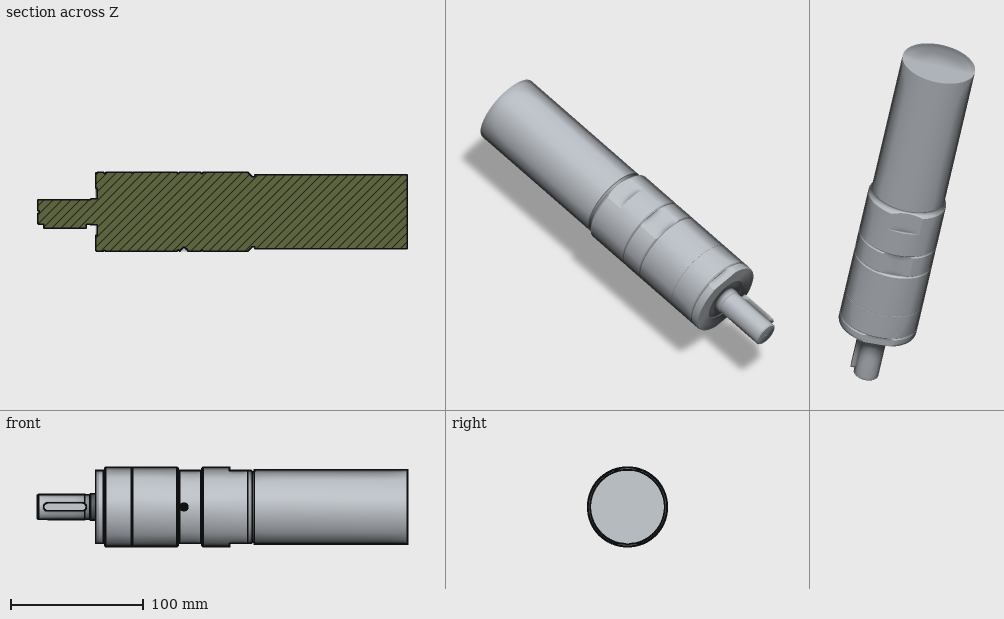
import cadquery as cq

total_length = 278.7
body_radius = 60.0 / 2
tube_radius = 56.0 / 2
neck_radius = 53.2 / 2
shaft_radius = 19.0 / 2
relief_radius = 18.7 / 2
bearing_radius = 20.0 / 2

shaft_tip_chamfer = 0.8
relief_start = 35.7
relief_end = 39.5
bearing_start = relief_end + bearing_radius - relief_radius

key_start = 4.7
key_length = 32.0
key_width = 6.0
key_top_radius = 12.5

centre_hole_diameter = 1.55
centre_hole_depth = 1.0

body_start = 43.8
front_edge_length = 1.7
front_edge_drop = 0.5
joint_groove_starts = [49.5, 105.0, 123.0]
joint_groove_width = 2.0
joint_groove_depth = (60.0 - 57.7) / 2
seam_groove_centre = 71.3
seam_groove_width = 1.0
seam_groove_depth = 0.3
rear_chamfer_start = 158.3
rear_chamfer = body_radius - neck_radius
tube_start = 163.3

recess_diameter = 35.0
recess_depth = 1.0

flat_height = 27.45
front_flat_end = joint_groove_starts[0] + joint_groove_width / 2
middle_flat_start = joint_groove_starts[1] + joint_groove_width / 2
middle_flat_end = joint_groove_starts[2] + joint_groove_width / 2
rear_flat_start = 144.6
flat_spans = [
    (body_start, front_flat_end),
    (middle_flat_start, middle_flat_end),
    (rear_flat_start, tube_start),
]

port_x = 110.5
port_diameter = 3.5
port_depth = 2.2
port_bore_diameter = 1.55
port_bore_depth = 3.3
port_counterbore_diameter = 5.5
port_counterbore_depth = 1.0


def cylinder_x(start, end, radius):
    """Cylinder on the X axis from start to end."""
    return cq.Workplane("YZ").workplane(offset=start).circle(radius).extrude(end - start)


def turned_profile(points):
    """Solid turned about the X axis from an (x, radius) outline."""
    return (
        cq.Workplane("XY")
        .polyline(points)
        .close()
        .revolve(360, (0, 0, 0), (1, 0, 0))
    )


def make_turned_blank():
    return turned_profile([
        (0, 0),
        (0, shaft_radius - shaft_tip_chamfer),
        (shaft_tip_chamfer, shaft_radius),
        (relief_start, shaft_radius),
        (relief_start, relief_radius),
        (relief_end, relief_radius),
        (bearing_start, bearing_radius),
        (body_start, bearing_radius),
        (body_start, body_radius - front_edge_drop),
        (body_start + front_edge_length, body_radius),
        (rear_chamfer_start, body_radius),
        (rear_chamfer_start + rear_chamfer, neck_radius),
        (tube_start, neck_radius),
        (tube_start, tube_radius),
        (total_length, tube_radius),
        (total_length, 0),
    ])


def joint_groove(start):
    """V-shaped ring where two housing sections meet."""
    return turned_profile([
        (start, body_radius),
        (start + joint_groove_width / 2, body_radius - joint_groove_depth),
        (start + joint_groove_width, body_radius),
    ])


def seam_groove():
    start = seam_groove_centre - seam_groove_width / 2
    end = start + seam_groove_width
    ring = cylinder_x(start, end, body_radius)
    return ring.cut(cylinder_x(start, end, body_radius - seam_groove_depth))


def flat_cutter(start, end):
    """Material above and below a pair of wrench flats."""
    length = end - start
    width = 2 * body_radius
    blank = cq.Workplane("XY").box(length, width, width)
    core = cq.Workplane("XY").box(length, width, 2 * flat_height)
    return blank.cut(core).translate(((start + end) / 2, 0, 0))


def front_recess():
    end = body_start + recess_depth
    disc = cylinder_x(body_start, end, recess_diameter / 2)
    return disc.cut(cylinder_x(body_start, end, bearing_radius))


def shaft_key():
    return (
        cq.Workplane("XZ")
        .center(key_start + key_length / 2, 0)
        .slot2D(key_length, key_width)
        .extrude(key_top_radius)
    )


def side_hole(diameter, depth):
    """Round hole at the port position, sunk from the -Y side of the body."""
    return (
        cq.Workplane("XZ", origin=(port_x, depth - body_radius, 0))
        .circle(diameter / 2)
        .extrude(depth)
    )


result = make_turned_blank().union(shaft_key())

for groove_start in joint_groove_starts:
    result = result.cut(joint_groove(groove_start))
result = result.cut(seam_groove())

for flat_start, flat_end in flat_spans:
    result = result.cut(flat_cutter(flat_start, flat_end))

result = result.cut(front_recess())
result = result.cut(cylinder_x(0, centre_hole_depth, centre_hole_diameter / 2))
result = result.cut(side_hole(port_counterbore_diameter, port_counterbore_depth))
result = result.cut(side_hole(port_diameter, port_depth))
result = result.cut(side_hole(port_bore_diameter, port_bore_depth))